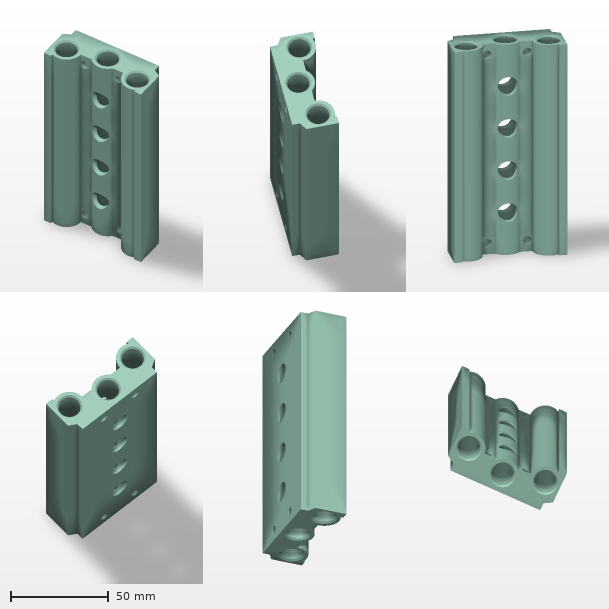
import cadquery as cq
import math

width = 59.0
depth = 23.5
length = 115.0

bore_diameter = 11.4
bore_mouth_diameter = 13.2
boss_radius = 8.5
side_bore_x = 21.5
side_bore_y = 9.0
middle_bore_y = 14.5
bore_centers = [(-side_bore_x, side_bore_y), (0.0, middle_bore_y), (side_bore_x, side_bore_y)]

floor_y = side_bore_y
foot_width = 4.25
back_step_depth = 4.0
back_slope_angle = 30.0
half_width = width / 2
inner_half_width = half_width - foot_width
step_y = depth - back_step_depth
slope_y = step_y - foot_width * math.tan(math.radians(back_slope_angle))

port_diameter = 10.2
port_count = 4
port_pitch = length / (port_count + 1)

mount_diameter = 4.5
mount_x = 10.5
mount_end_distance = 6.0


def make_body():
    """Rear slab with two side legs, plus a round boss around each bore."""
    outline = [
        (-half_width, 0),
        (-inner_half_width, 0),
        (-inner_half_width, floor_y),
        (inner_half_width, floor_y),
        (inner_half_width, 0),
        (half_width, 0),
        (half_width, slope_y),
        (inner_half_width, step_y),
        (inner_half_width, depth),
        (-inner_half_width, depth),
        (-inner_half_width, step_y),
        (-half_width, slope_y),
    ]
    body = cq.Workplane("XY").polyline(outline).close().extrude(length)
    bosses = cq.Workplane("XY").pushPoints(bore_centers).circle(boss_radius).extrude(length)
    envelope = cq.Workplane("XY").rect(width, 2 * depth).extrude(length)
    return body.union(bosses.intersect(envelope))


def make_bore(x, y):
    """Through bore along Z with a 45 degree countersink at both ends."""
    bore_radius = bore_diameter / 2
    mouth_radius = bore_mouth_diameter / 2
    mouth_depth = mouth_radius - bore_radius
    half_section = [
        (0, 0),
        (mouth_radius, 0),
        (bore_radius, mouth_depth),
        (bore_radius, length - mouth_depth),
        (mouth_radius, length),
        (0, length),
    ]
    bore = cq.Workplane("XZ").polyline(half_section).close().revolve(360, (0, 0), (0, 1))
    return bore.translate((x, y, 0))


def make_cross_holes(diameter, places):
    """Holes along Y through the full depth, at the given (x, z) places."""
    return cq.Workplane("XZ").pushPoints(places).circle(diameter / 2).extrude(-depth)


result = make_body()

for bore_x, bore_y in bore_centers:
    result = result.cut(make_bore(bore_x, bore_y))

port_places = [(0, port_pitch * (i + 1)) for i in range(port_count)]
result = result.cut(make_cross_holes(port_diameter, port_places))

mount_places = [
    (x, z)
    for x in (-mount_x, mount_x)
    for z in (mount_end_distance, length - mount_end_distance)
]
result = result.cut(make_cross_holes(mount_diameter, mount_places))